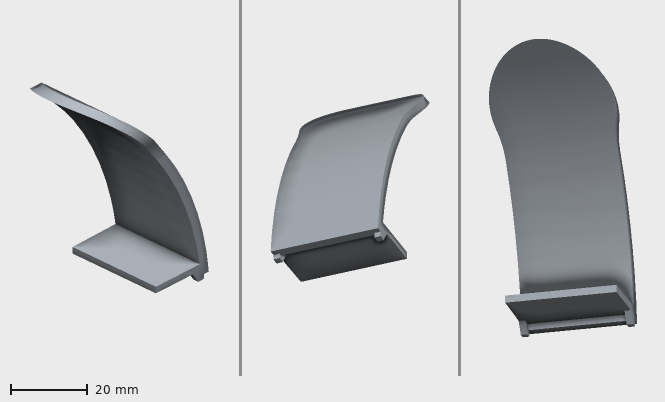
import cadquery as cq
import math

width = 33.57
depth = 45.06
height = 66.14

foot_z = 1.5
foot_thickness = 2.9
tip_thickness_y = 4.25
back_radius = 85.0
inner_radius = 86.5

foot_half_width = 15.25
neck_half_width = 15.07
stem_front_y = -19.85

neck_z = 43.4
head_start_z = 50.2
head_half_width = width / 2
head_centre_z = 53.35
head_half_height = height - head_centre_z
head_start_sine = (head_start_z - head_centre_z) / head_half_height
head_start_x = head_half_width * math.sqrt(1 - head_start_sine ** 2)

shelf_bottom_z = 3.15
shelf_thickness = 2.0
shelf_back_y = -2.0

tab_width = 1.8
tab_back_y = -1.85
tab_tip_y = -3.9
tab_front_y = -6.0
tab_underside_rise = 0.1


def make_wall():
    """Curved side profile of the wall, as wide as the head."""
    return (
        cq.Workplane("YZ")
        .moveTo(0, foot_z)
        .radiusArc((tip_thickness_y - depth, height), -back_radius)
        .lineTo(-depth, height)
        .radiusArc((-foot_thickness, foot_z), inner_radius)
        .close()
        .extrude(head_half_width, both=True)
    )


def make_shelf():
    """Flat shelf reaching forward from the wall, as wide as the foot."""
    return cq.Workplane("XY").box(
        2 * foot_half_width,
        shelf_back_y - stem_front_y,
        shelf_thickness,
        centered=(True, False, False),
    ).translate((0, stem_front_y, shelf_bottom_z))


def make_tab(side):
    """Tab with a sloped front face; side is -1 for the left end and 1 for the right."""
    shelf_top_z = shelf_bottom_z + shelf_thickness
    return (
        cq.Workplane("YZ", origin=(side * foot_half_width, 0, 0))
        .moveTo(tab_back_y, tab_underside_rise)
        .lineTo(tab_tip_y, 0)
        .lineTo(tab_front_y, shelf_bottom_z)
        .lineTo(tab_front_y, shelf_top_z)
        .lineTo(tab_back_y, shelf_top_z)
        .close()
        .extrude(-side * tab_width)
    )


def make_stem_envelope():
    """Space below the neck, bounded by the sides of the stem."""
    return (
        cq.Workplane("XY")
        .moveTo(-foot_half_width, 0)
        .lineTo(foot_half_width, 0)
        .lineTo(neck_half_width, stem_front_y)
        .lineTo(-neck_half_width, stem_front_y)
        .close()
        .extrude(neck_z)
    )


def make_head_envelope():
    """Space above the neck: concave arcs that start upright, then the ellipse."""
    flare = head_start_x - neck_half_width
    rise = head_start_z - neck_z
    flare_radius = (flare ** 2 + rise ** 2) / (2 * flare)
    start_angle = math.degrees(math.asin(head_start_sine))
    neck = (
        cq.Workplane("XZ")
        .moveTo(-neck_half_width, neck_z)
        .lineTo(neck_half_width, neck_z)
        .radiusArc((head_start_x, head_start_z), flare_radius)
        .lineTo(-head_start_x, head_start_z)
        .radiusArc((-neck_half_width, neck_z), flare_radius)
        .close()
        .extrude(depth)
    )
    head = (
        cq.Workplane("XZ")
        .moveTo(head_start_x, head_start_z)
        .ellipseArc(head_half_width, head_half_height, start_angle, 180 - start_angle)
        .close()
        .extrude(depth)
    )
    return neck.union(head)


wall = make_wall()
stem = wall.union(make_shelf())
for side in (-1, 1):
    stem = stem.union(make_tab(side))
stem = stem.intersect(make_stem_envelope())
head = wall.intersect(make_head_envelope())
result = stem.union(head).clean()